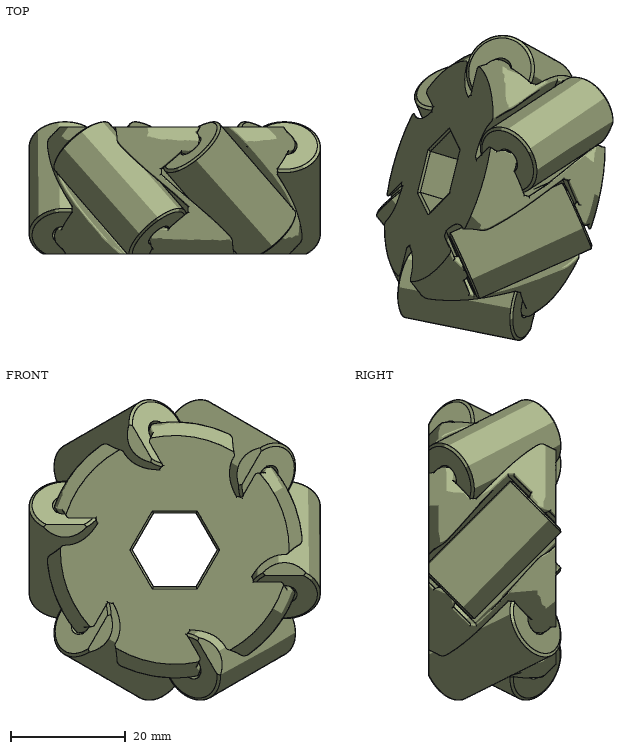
import cadquery as cq
import math


hub_width = 22.2
face_radius = 19.95
rim_bevel = 2.35
hub_radius = face_radius + rim_bevel
rim_blend_radius = 2.0

bore_flats = 12.85
bore_chamfer = 0.35
hexagon_corner_ratio = 1 / math.cos(math.pi / 6)

roller_count = 6
roller_tilt = 45
wheel_outer_radius = 25.4
roller_radius = 6.3
roller_length = 22.0
roller_chamfer_radial = 0.5
roller_chamfer_axial = 0.3
roller_ring_radius = wheel_outer_radius - roller_radius

cone_steepness = 2.0
recess_radius = 2.2
pin_base_radius = 2.3

side_gap = 1.0
end_gap = 0.8
pocket_chamfer = 0.7
pocket_rim_fillet = 0.3

tolerance = 0.005


def chamfered_cylinder(radius, half_length, chamfer_radial, chamfer_axial):
    """A cylinder along Z, centred on the origin, with both end edges chamfered."""
    return (
        cq.Workplane("XZ")
        .moveTo(0, -half_length)
        .lineTo(radius - chamfer_radial, -half_length)
        .lineTo(radius, chamfer_axial - half_length)
        .lineTo(radius, half_length - chamfer_axial)
        .lineTo(radius - chamfer_radial, half_length)
        .lineTo(0, half_length)
        .close()
        .revolve(360, (0, 0), (0, 1))
    )


def end_cones(base_radius, half_length):
    """Two cones along Z that point inward from the ends of a cylinder."""
    tip = half_length - cone_steepness * base_radius
    upper = (
        cq.Workplane("XZ")
        .moveTo(0, half_length)
        .lineTo(base_radius, half_length)
        .lineTo(0, tip)
        .close()
        .revolve(360, (0, 0), (0, 1))
    )
    return upper.union(upper.mirror("XY"))


def ring_copies(shape):
    """Copies of a shape built along Z, moved to every roller position of the wheel."""
    tilted = shape.rotate((0, 0, 0), (1, 0, 0), roller_tilt)
    placed = tilted.translate((-roller_ring_radius, 0, 0))
    step = 360 / roller_count
    return [placed.rotate((0, 0, 0), (0, 1, 0), step * i) for i in range(roller_count)]




def hub_disc():
    """The plain disc: both rims bevelled, each bevel blended into the outer cylinder."""
    disc = cq.Workplane("XZ").circle(hub_radius).extrude(hub_width / 2, both=True)
    disc = disc.faces("<Y or >Y").edges().chamfer(rim_bevel)
    outer_edges = disc.edges(cq.selectors.RadiusNthSelector(-1))
    return outer_edges.fillet(rim_blend_radius)


def hexagonal_bore():
    """The through bore, flared by a chamfer at both faces of the hub."""
    corner_diameter = bore_flats * hexagon_corner_ratio
    flared_diameter = corner_diameter + 2 * bore_chamfer * hexagon_corner_ratio
    prism = cq.Workplane("XZ").polygon(6, corner_diameter).extrude(hub_width / 2, both=True)
    for side in (-1, 1):
        flare = (
            cq.Workplane("XZ", origin=(0, side * hub_width / 2, 0))
            .polygon(6, flared_diameter)
            .workplane(offset=side * bore_chamfer)
            .polygon(6, corner_diameter)
            .loft(combine=True)
        )
        prism = prism.union(flare)
    return prism


def roller_pocket():
    """The space cut for one roller; the two cones left out of it become the pins."""
    half_length = roller_length / 2 + end_gap
    space = chamfered_cylinder(roller_radius + side_gap, half_length, pocket_chamfer, pocket_chamfer)
    return space.cut(end_cones(pin_base_radius, half_length))


def is_pocket_rim(edge):
    """True for an edge where a pocket opens through the outer side of the hub."""
    ends = [edge.startPoint(), edge.endPoint()]
    on_side = all(math.hypot(point.x, point.z) > face_radius - tolerance for point in ends)
    runs_around_axis = abs(ends[0].y - ends[1].y) < tolerance
    return on_side and not runs_around_axis


def make_hub():
    hub = hub_disc().cut(hexagonal_bore())
    pockets = [pocket.val() for pocket in ring_copies(roller_pocket())]
    hub = hub.cut(cq.Workplane(cq.Compound.makeCompound(pockets)))
    rim_edges = [edge for edge in hub.edges().vals() if is_pocket_rim(edge)]
    return hub.newObject(rim_edges).fillet(pocket_rim_fillet)




def roller_blank():
    """One whole roller along Z, with a conical recess in each end."""
    half_length = roller_length / 2
    body = chamfered_cylinder(roller_radius, half_length, roller_chamfer_radial, roller_chamfer_axial)
    return body.cut(end_cones(recess_radius, half_length))


def make_rollers():
    """All rollers in place, cut flush with the front face of the hub."""
    trim_width = 3 * wheel_outer_radius
    trim_depth = roller_length
    front_space = cq.Workplane("XY").box(trim_width, trim_depth, trim_width)
    front_space = front_space.translate((0, -(hub_width + trim_depth) / 2, 0))
    return [roller.cut(front_space) for roller in ring_copies(roller_blank())]


hub = make_hub()
rollers = make_rollers()

result = cq.Compound.makeCompound([hub.val(), *[roller.val() for roller in rollers]])